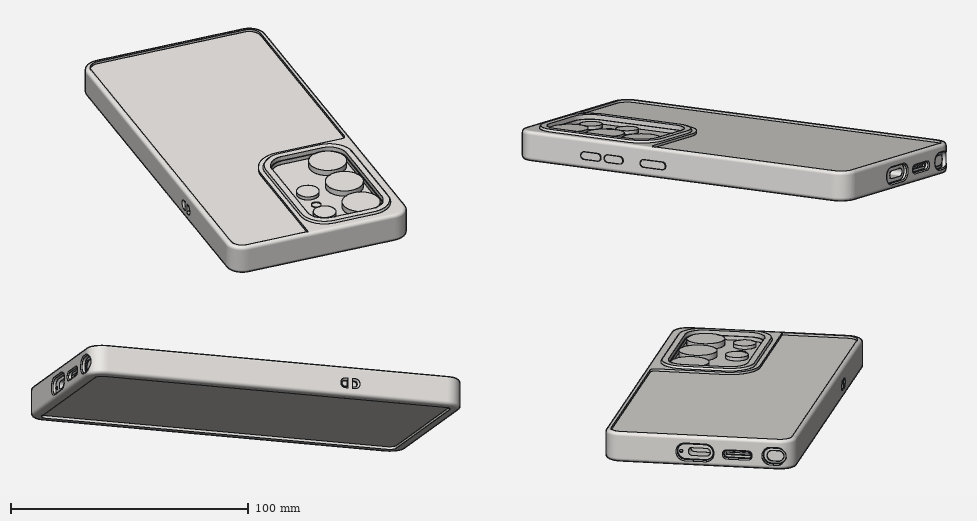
import cadquery as cq
import math

case_length = 166.93
case_width = 81.7
case_height = 12.75
case_corner_radius = 7.3
case_edge_radius = 1.5
mid_height = 5.6

phone_length = 163.4
phone_width = 78.1
phone_thickness = 8.9
phone_back_edge_radius = 2.0
phone_front_edge_radius = 0.6
phone_bottom = mid_height - phone_thickness / 2
phone_top = phone_bottom + phone_thickness
wall = (case_length - phone_length) / 2
phone_corner_radius = case_corner_radius - wall
screen_lip = 2.5

panel_margin = 2.15
panel_recess = 1.0
panel_corner_radius = case_corner_radius - panel_margin
panel_tip_radius = 2.0
panel_top = case_height - panel_recess

camera_x = 48.95
camera_y = 16.55
frame_length = 60.5
frame_width = 40.4
frame_corner_radius = 11.0
frame_height = 1.0
frame_slope = 0.5
frame_wall = 3.2
panel_window_inset = 0.3
camera_margin = 2.0

lens_pitch = 18.25
lens_row_y = 24.55
lens_radius = 8.05
lens_height = 2.5
small_lens_row_y = 7.86
small_lens_radius = 4.8
small_lens_height = 1.5
flash_radius = 2.1
flash_depth = 0.4

usb_opening = (1.5, 5.8, 16.3, 7.8)
speaker_opening = (-16.6, mid_height, 12.8, 4.1)
stylus_opening = (-32.5, 5.8, 10.7, 7.8)
opening_chamfer = 0.5
chamfer_angle = 45

usb_port = (0, mid_height, 9.4, 3.4)
speaker_slot = (-16.6, mid_height, 10.4, 1.05)
stylus_bore = (-32.6, mid_height - 0.1, 7.15, 4.6)
usb_port_depth = 6.0
speaker_slot_depth = 1.0
mic_y = 7.8
mic_radius = 0.65
mic_depth = 1.0

stylus_length = 100.0
stylus_setback = 0.5

lanyard_x = 32.3
lanyard_length = 8.6
lanyard_height = 4.3
lanyard_bar_width = 2.0
lanyard_chamfer = 0.9

button_spans = [(7.5, 20.2), (29.0, 38.4), (40.2, 50.2)]
button_height = 3.3
button_projection = 0.55


def rounded_block(length, width, height, radius, bottom):
    """Plate with rounded corners, centred on the Z axis."""
    plate = cq.Workplane("XY").workplane(offset=bottom).rect(length, width).extrude(height)
    return plate.edges("|Z").fillet(radius)


def end_slot(slot, start_x, depth):
    """Round-ended bar that runs along +X from start_x."""
    centre_y, centre_z, width, height = slot
    plane = cq.Plane(origin=(start_x, centre_y, centre_z), xDir=(0, 1, 0), normal=(1, 0, 0))
    return cq.Workplane(plane).slot2D(width, height).extrude(depth)


def panel_outline(bottom, height):
    """Rounded plate that follows the case outline at the panel margin."""
    length = case_length - 2 * panel_margin
    width = case_width - 2 * panel_margin
    return rounded_block(length, width, height, panel_corner_radius, bottom)


def panel_opening():
    """L-shaped cut above the panel that leaves the camera corner of the case standing."""
    corner_x = camera_x - frame_length / 2 - camera_margin
    corner_y = camera_y - frame_width / 2 - camera_margin
    camera_corner = (
        cq.Workplane("XY", origin=(corner_x, corner_y, panel_top))
        .rect(case_length, case_width, centered=False)
        .extrude(panel_recess)
        .edges("|Z and <X and <Y")
        .fillet(frame_corner_radius + camera_margin)
    )
    opening = panel_outline(panel_top, panel_recess).cut(camera_corner)
    tip_point = (corner_x, case_width / 2 - panel_margin, panel_top + panel_recess / 2)
    tip = cq.selectors.NearestToPointSelector(tip_point)
    return opening.edges("|Z").edges(tip).fillet(panel_tip_radius)


def camera_frame():
    """Raised rounded block whose flanks slope in towards the top."""
    base = rounded_block(frame_length, frame_width, panel_recess, frame_corner_radius, panel_top)
    flank_angle = math.degrees(math.atan2(frame_slope, frame_height))
    raised = base.faces(">Z").wires().toPending().workplane().extrude(frame_height, taper=flank_angle)
    return raised.translate((camera_x, camera_y, 0))


def camera_window(inset):
    """Through-cut inside the camera frame, narrowed by inset on every side."""
    rim = frame_wall + inset
    window = rounded_block(
        frame_length - 2 * rim,
        frame_width - 2 * rim,
        case_height,
        frame_corner_radius - rim,
        mid_height,
    )
    return window.translate((camera_x, camera_y, 0))


def button_pad(start_x, end_x):
    return (
        cq.Workplane("XZ", origin=((start_x + end_x) / 2, case_width / 2 + button_projection, mid_height))
        .slot2D(end_x - start_x, button_height)
        .extrude(button_projection + wall / 2)
    )


def chamfered_slot(plane, width, height, chamfer, depth):
    """Round-ended hole along the plane normal with a chamfered mouth."""
    mouth = cq.Workplane(plane).slot2D(width, height).extrude(chamfer, taper=chamfer_angle)
    hole = cq.Workplane(plane).slot2D(width - 2 * chamfer, height - 2 * chamfer).extrude(depth)
    return mouth.union(hole)


def end_opening(opening):
    """Chamfered opening through the -X wall of the case."""
    centre_y, centre_z, width, height = opening
    plane = cq.Plane(
        origin=(-case_length / 2, centre_y, centre_z), xDir=(0, 1, 0), normal=(1, 0, 0)
    )
    depth = wall + phone_back_edge_radius
    return chamfered_slot(plane, width, height, opening_chamfer, depth)


def lanyard_holes():
    """Two chamfered D-shaped holes with a bar left between them."""
    plane = cq.Plane(
        origin=(lanyard_x, -case_width / 2, mid_height), xDir=(1, 0, 0), normal=(0, 1, 0)
    )
    slot = chamfered_slot(plane, lanyard_length, lanyard_height, lanyard_chamfer, wall)
    bar = cq.Workplane("XY").box(lanyard_bar_width, case_width, case_height)
    return slot.cut(bar.translate((lanyard_x, 0, mid_height)))


def make_phone_blank():
    blank = rounded_block(
        phone_length, phone_width, phone_thickness, phone_corner_radius, phone_bottom
    )
    blank = blank.faces(">Z").edges().fillet(phone_back_edge_radius)
    return blank.faces("<Z").edges().fillet(phone_front_edge_radius)


def make_phone(blank):
    phone = blank
    lens_columns = [camera_x - lens_pitch, camera_x, camera_x + lens_pitch]
    for x in lens_columns:
        lens = cq.Workplane("XY", origin=(x, lens_row_y, phone_top)).circle(lens_radius)
        phone = phone.union(lens.extrude(lens_height))
    for x in lens_columns[1:]:
        lens = cq.Workplane("XY", origin=(x, small_lens_row_y, phone_top)).circle(small_lens_radius)
        phone = phone.union(lens.extrude(small_lens_height))
    flash = cq.Workplane("XY", origin=(camera_x + lens_pitch / 2, small_lens_row_y, phone_top))
    phone = phone.cut(flash.circle(flash_radius).extrude(-flash_depth))

    end_x = -phone_length / 2
    phone = phone.cut(end_slot(usb_port, end_x, usb_port_depth))
    phone = phone.cut(end_slot(speaker_slot, end_x, speaker_slot_depth))
    phone = phone.cut(end_slot(stylus_bore, end_x, stylus_setback + stylus_length))
    mic = cq.Workplane("YZ", origin=(end_x, mic_y, mid_height)).circle(mic_radius)
    return phone.cut(mic.extrude(mic_depth))


def make_stylus():
    return end_slot(stylus_bore, -phone_length / 2 + stylus_setback, stylus_length)


def make_panel():
    return panel_outline(phone_top, panel_top - phone_top).cut(camera_window(panel_window_inset))


def make_case(phone_blank):
    case = rounded_block(case_length, case_width, case_height, case_corner_radius, 0)
    case = case.faces("<Z or >Z").edges().fillet(case_edge_radius)
    case = case.union(camera_frame())
    for start_x, end_x in button_spans:
        case = case.union(button_pad(start_x, end_x))

    case = case.cut(phone_blank)
    screen_window = rounded_block(
        phone_length - 2 * screen_lip,
        phone_width - 2 * screen_lip,
        mid_height,
        phone_corner_radius - screen_lip,
        0,
    )
    case = case.cut(screen_window)
    case = case.cut(camera_window(0))
    case = case.cut(panel_outline(phone_top, panel_top - phone_top))
    case = case.cut(panel_opening())
    for opening in (usb_opening, speaker_opening, stylus_opening):
        case = case.cut(end_opening(opening))
    return case.cut(lanyard_holes())


phone_blank = make_phone_blank()
case = make_case(phone_blank)
phone = make_phone(phone_blank)
stylus = make_stylus()
panel = make_panel()

result = cq.Compound.makeCompound([case.val(), phone.val(), stylus.val(), panel.val()])